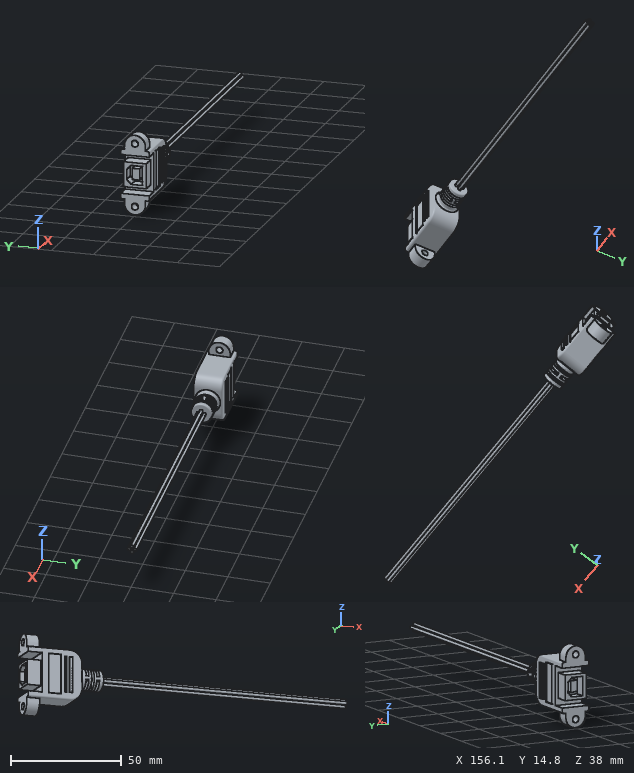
import cadquery as cq

OVERALL_LENGTH = 156.1
OVERALL_WIDTH = 14.8
OVERALL_HEIGHT = 38.0

HOUSING_LENGTH = 26.4
HOUSING_HALF_Y = 6.9
HOUSING_HALF_Z = 11.9
REAR_CORNER_RADIUS = 5.8
EDGE_FILLET = 1.0
EAR_THICKNESS = 6.2
EAR_RADIUS = 5.0
EAR_TIP_Z = OVERALL_HEIGHT / 2
SCREW_HOLE_RADIUS = 1.5
SCREW_HOLE_Z = 15.0
MOUTH_DEPTH = 6.7
MOUTH_HALF_Z = 9.2
LABEL_START_X = 10.0
LABEL_LENGTH = 6.1
LABEL_DEPTH = 0.6
GRIP_RIBS = [(17.6, 1.0), (20.0, 1.4)]
GRIP_RIB_HALF_Z = 8.3
GRIP_RIB_TIP_Y = OVERALL_WIDTH / 2

SOCKET_HALF_Y = 5.5
SOCKET_HALF_Z = 6.0
PORT_LEFT_Y = 3.9
PORT_RIGHT_Y = -3.6
PORT_HALF_Z = 4.5
PORT_CORNER_CUT = 2.2
PORT_DEPTH = 5.5
TONGUE_HALF_Y = 1.7
TONGUE_HALF_Z = 2.7
TONGUE_RECESS = 1.5

BOOT_RADIUS = 5.0
BOOT_LENGTH = 11.1
BOOT_FLARE = 1.0
BOOT_END_FILLET = 0.6
SLOT_WIDTH = 1.2
FIRST_SLOT_START_X = 28.9
RING_WIDTH = 1.33
SLOT_PITCH = SLOT_WIDTH + RING_WIDTH
SLOT_COUNT = 3
WEB_HALF = 0.86

WIRE_COUNT = 4
WIRE_RADIUS = 0.8
WIRE_OFFSET = 1.44


def block(x_start, x_end, half_y, half_z):
    """Box between two X positions, centred on the cable axis."""
    return (
        cq.Workplane("YZ")
        .workplane(offset=x_start)
        .rect(2 * half_y, 2 * half_z)
        .extrude(x_end - x_start)
    )


def make_shell():
    """Housing block with rounded rear corners and softened side edges."""
    shell = block(0, HOUSING_LENGTH, HOUSING_HALF_Y, HOUSING_HALF_Z)
    shell = shell.edges(">X and |Y").fillet(REAR_CORNER_RADIUS)
    outline_edges = shell.faces("<Y or >Y").edges("not <X")
    return outline_edges.fillet(EDGE_FILLET)


def make_ears():
    """Pair of rounded mounting ears, joined across the housing front."""
    return (
        cq.Workplane("YZ")
        .slot2D(2 * EAR_TIP_Z, 2 * EAR_RADIUS, 90)
        .extrude(EAR_THICKNESS)
    )


def make_screw_holes():
    """Through hole in each ear."""
    return (
        cq.Workplane("YZ")
        .pushPoints([(0, SCREW_HOLE_Z), (0, -SCREW_HOLE_Z)])
        .circle(SCREW_HOLE_RADIUS)
        .extrude(EAR_THICKNESS)
    )


def make_grip_ribs():
    """Ribs across both broad sides, as bars that run right through the shell."""
    ribs = cq.Workplane("YZ")
    for start_x, width in GRIP_RIBS:
        ribs = ribs.add(block(start_x, start_x + width, GRIP_RIB_TIP_Y, GRIP_RIB_HALF_Z))
    return ribs.combine()


def make_label_recesses():
    """Shallow rectangular recess in each broad side."""
    label_end_x = LABEL_START_X + LABEL_LENGTH
    around = block(LABEL_START_X, label_end_x, HOUSING_HALF_Y, MOUTH_HALF_Z)
    core = block(LABEL_START_X, label_end_x, HOUSING_HALF_Y - LABEL_DEPTH, MOUTH_HALF_Z)
    return around.cut(core)


def make_housing():
    """Shell with ears and grip ribs, opened at the front for the socket."""
    mouth = block(0, MOUTH_DEPTH, HOUSING_HALF_Y, MOUTH_HALF_Z)
    return (
        make_shell()
        .union(make_ears())
        .union(make_grip_ribs())
        .cut(make_screw_holes())
        .cut(make_label_recesses())
        .cut(mouth)
    )


def make_socket():
    """Block in the housing mouth, with a port that has two cut corners."""
    port = (
        cq.Workplane("YZ")
        .moveTo(PORT_RIGHT_Y, -PORT_HALF_Z)
        .lineTo(PORT_LEFT_Y - PORT_CORNER_CUT, -PORT_HALF_Z)
        .lineTo(PORT_LEFT_Y, -PORT_HALF_Z + PORT_CORNER_CUT)
        .lineTo(PORT_LEFT_Y, PORT_HALF_Z - PORT_CORNER_CUT)
        .lineTo(PORT_LEFT_Y - PORT_CORNER_CUT, PORT_HALF_Z)
        .lineTo(PORT_RIGHT_Y, PORT_HALF_Z)
        .close()
        .extrude(PORT_DEPTH)
    )
    return block(0, MOUTH_DEPTH, SOCKET_HALF_Y, SOCKET_HALF_Z).cut(port)


def make_tongue():
    """Contact tongue that stands on the floor of the port."""
    return block(TONGUE_RECESS, PORT_DEPTH, TONGUE_HALF_Y, TONGUE_HALF_Z)


def make_wires():
    """Parallel wires spaced evenly round the cable axis."""
    first_wire = (
        cq.Workplane("YZ")
        .workplane(offset=HOUSING_LENGTH)
        .center(WIRE_OFFSET, 0)
        .circle(WIRE_RADIUS)
        .extrude(OVERALL_LENGTH - HOUSING_LENGTH)
    )
    step = 360 / WIRE_COUNT
    return [first_wire.rotate((0, 0, 0), (1, 0, 0), i * step) for i in range(WIRE_COUNT)]


def make_boot_slots(start_x):
    """Two facing slots from above and below that leave a web across the middle."""
    end_x = start_x + SLOT_WIDTH
    ring = block(start_x, end_x, 2 * BOOT_RADIUS, 2 * BOOT_RADIUS)
    web = block(start_x, end_x, 2 * BOOT_RADIUS, WEB_HALF)
    return ring.cut(web)


def make_boot(wires):
    """Strain relief: flared round sleeve with alternating slots and a hole for each wire."""
    end_x = HOUSING_LENGTH + BOOT_LENGTH
    flare_end_x = HOUSING_LENGTH + BOOT_FLARE
    boot = (
        cq.Workplane("XY")
        .moveTo(HOUSING_LENGTH, 0)
        .lineTo(HOUSING_LENGTH, BOOT_RADIUS + BOOT_FLARE)
        .radiusArc((flare_end_x, BOOT_RADIUS), -BOOT_FLARE)
        .lineTo(end_x, BOOT_RADIUS)
        .lineTo(end_x, 0)
        .close()
        .revolve(360, (0, 0, 0), (1, 0, 0))
        .faces(">X")
        .edges()
        .fillet(BOOT_END_FILLET)
    )
    for i in range(SLOT_COUNT):
        slots = make_boot_slots(FIRST_SLOT_START_X + i * SLOT_PITCH)
        quarter_turns = i % 2
        boot = boot.cut(slots.rotate((0, 0, 0), (1, 0, 0), quarter_turns * 90))
    for wire in wires:
        boot = boot.cut(wire)
    return boot


housing = make_housing()
socket = make_socket()
tongue = make_tongue()
wires = make_wires()
boot = make_boot(wires)

result = cq.Compound.makeCompound(
    [housing.val(), socket.val(), tongue.val(), boot.val(), *[wire.val() for wire in wires]]
)